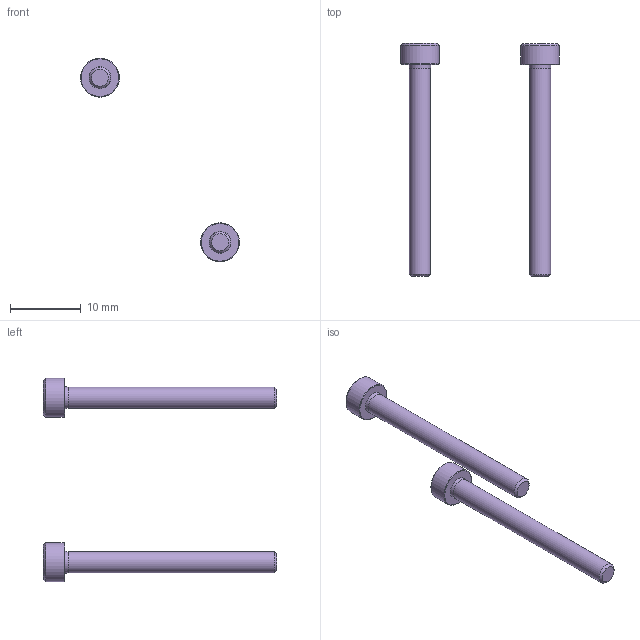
import cadquery as cq

screw_spacing_x = 17.0
screw_spacing_z = 23.3

head_diameter = 5.5
head_height = 3.0
head_top_chamfer = 0.3
head_rim_chamfer = 0.08

shank_diameter = 3.0
shank_length = 30.0
tip_chamfer = 0.3
neck_length = 0.5
neck_flare = 0.05


def make_screw():
    """One screw turned about the Y axis, with the underside of its head at Y = 0."""
    head_radius = head_diameter / 2
    shank_radius = shank_diameter / 2
    return (
        cq.Workplane("XY")
        .moveTo(0, -shank_length)
        .lineTo(shank_radius - tip_chamfer, -shank_length)
        .lineTo(shank_radius, -shank_length + tip_chamfer)
        .lineTo(shank_radius, -neck_length)
        .lineTo(shank_radius + neck_flare, 0)
        .lineTo(head_radius - head_rim_chamfer, 0)
        .lineTo(head_radius, head_rim_chamfer)
        .lineTo(head_radius, head_height - head_top_chamfer)
        .lineTo(head_radius - head_top_chamfer, head_height)
        .lineTo(0, head_height)
        .close()
        .revolve(360, (0, 0, 0), (0, 1, 0))
    )


screws = []
for side in (-1, 1):
    position = (side * screw_spacing_x / 2, 0, -side * screw_spacing_z / 2)
    screws.append(make_screw().translate(position))

result = cq.Compound.makeCompound([screw.val() for screw in screws])